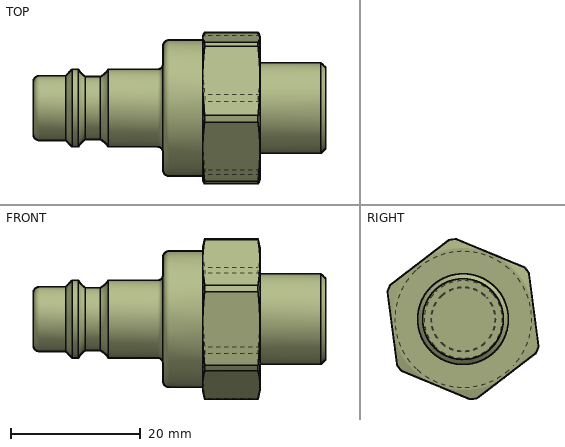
import cadquery as cq
import math

total_length = 45.1

nose_radius = 10.0 / 2
shank_radius = 12.0 / 2
groove_radius = 9.75 / 2
body_radius = 21.0 / 2
stub_radius = 14.0 / 2

edge_round = 1.0
root_round = 0.75
stub_chamfer = 0.75
flank_radius = 2.98

collar_ramp_start = 5.05
collar_start = 6.0
collar_end = 7.0
groove_start = 8.05
groove_end = 10.37
shank_start = 11.6
body_start = 20.0
hex_start = 26.1
hex_end = 34.95

hex_across_flats = 22.0
hex_corner_radius = 12.4
hex_face_radius = 10.95
hex_chamfer_depth = 0.3
hex_corner_tilt = 7.5


def revolve_about_x(outline):
    return outline.close().revolve(360, (0, 0, 0), (1, 0, 0))


def make_plug():
    """Nose, locking collar, groove, shank, body and rear stub in one turned profile."""
    quarter = math.sqrt(0.5)
    round_mid = edge_round * (1 - quarter)
    root_mid = root_round * (1 - quarter)
    outline = (
        cq.Workplane("XY")
        .lineTo(0, nose_radius - edge_round)
        .threePointArc((round_mid, nose_radius - round_mid), (edge_round, nose_radius))
        .lineTo(collar_ramp_start, nose_radius)
        .lineTo(collar_start, shank_radius)
        .lineTo(collar_end, shank_radius)
        .radiusArc((groove_start, groove_radius), -flank_radius)
        .lineTo(groove_end, groove_radius)
        .radiusArc((shank_start, shank_radius), -flank_radius)
        .lineTo(body_start - root_round, shank_radius)
        .threePointArc(
            (body_start - root_mid, shank_radius + root_mid),
            (body_start, shank_radius + root_round),
        )
        .lineTo(body_start, body_radius - edge_round)
        .threePointArc(
            (body_start + round_mid, body_radius - round_mid),
            (body_start + edge_round, body_radius),
        )
        .lineTo(hex_end, body_radius)
        .lineTo(hex_end, stub_radius)
        .lineTo(total_length - stub_chamfer, stub_radius)
        .lineTo(total_length, stub_radius - stub_chamfer)
        .lineTo(total_length, 0)
    )
    return revolve_about_x(outline)


def make_hexagon():
    """Hexagonal prism with turned corners and conical end chamfers."""
    prism = (
        cq.Workplane("YZ", origin=(hex_start, 0, 0))
        .polygon(6, hex_across_flats, circumscribed=True)
        .extrude(hex_end - hex_start)
        .rotate((0, 0, 0), (1, 0, 0), hex_corner_tilt)
    )
    envelope = revolve_about_x(
        cq.Workplane("XY")
        .moveTo(hex_start, 0)
        .lineTo(hex_start, hex_face_radius)
        .lineTo(hex_start + hex_chamfer_depth, hex_corner_radius)
        .lineTo(hex_end - hex_chamfer_depth, hex_corner_radius)
        .lineTo(hex_end, hex_face_radius)
        .lineTo(hex_end, 0)
    )
    return prism.intersect(envelope)


result = make_plug().union(make_hexagon())